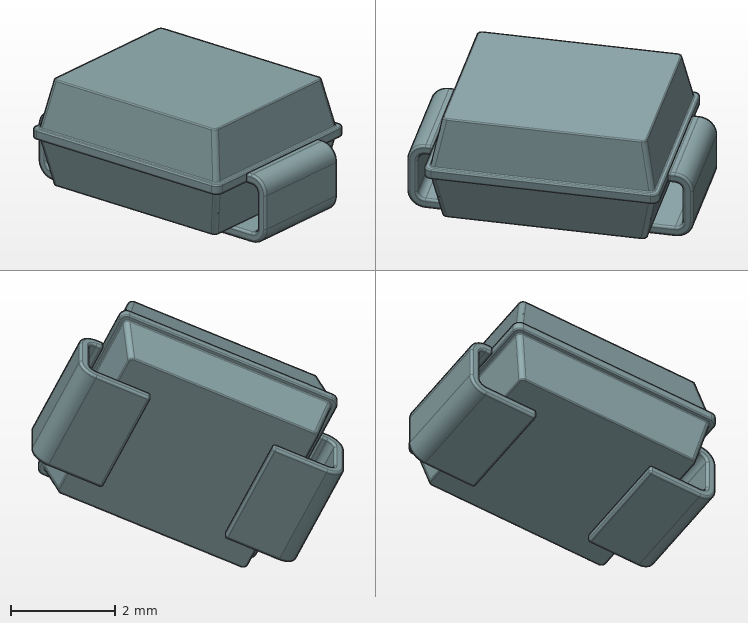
import cadquery as cq
import math

overall_length = 5.6
flange_length = 4.605
flange_width = 3.9
housing_height = 2.2

lead_width = 2.2
lead_thickness = 0.2
bend_inner_radius = 0.15
bend_outer_radius = bend_inner_radius + lead_thickness
foot_length = 1.5
lead_edge_radius = 0.05

flange_height = lead_thickness
flange_corner_radius = 0.15
flange_edge_radius = 0.03
flange_overhang = 0.1
draft_angle = 11.3
wall_corner_radius = 0.1
wall_foot_radius = 0.02
face_edge_radius = 0.03

mid_z = lead_thickness + housing_height / 2
lead_top_z = mid_z + lead_thickness / 2
half_body_height = (housing_height - flange_height) / 2


def make_half_body():
    """Tapered block that stands on the XY plane."""
    base_length = flange_length - 2 * flange_overhang
    base_width = flange_width - 2 * flange_overhang
    inset = half_body_height * math.tan(math.radians(draft_angle))
    block = (
        cq.Workplane("XY")
        .rect(base_length, base_width)
        .workplane(offset=half_body_height)
        .rect(base_length - 2 * inset, base_width - 2 * inset)
        .loft(ruled=True)
    )
    block = block.edges("not(#Z)").fillet(wall_corner_radius)
    return block.faces(">Z").edges().fillet(face_edge_radius)


def make_flange():
    """Rounded plate around the parting line, centred on the origin."""
    return (
        cq.Workplane("XY")
        .box(flange_length, flange_width, flange_height)
        .edges("|Z")
        .fillet(flange_corner_radius)
        .faces("<Z or >Z")
        .edges()
        .fillet(flange_edge_radius)
    )


def make_housing():
    """Flange with the same tapered block above and below it."""
    flange_top_z = flange_height / 2
    upper_half = make_half_body().translate((0, 0, flange_top_z))
    lower_half = upper_half.mirror("XY")
    body = make_flange().union(upper_half).union(lower_half)

    rim_margin = (flange_edge_radius + flange_overhang) / 2
    foot_zone_x = flange_length / 2 - rim_margin
    foot_zone_y = flange_width / 2 - rim_margin
    foot_zone_z = flange_top_z + wall_foot_radius
    foot_zone = cq.selectors.BoxSelector(
        (-foot_zone_x, -foot_zone_y, -foot_zone_z),
        (foot_zone_x, foot_zone_y, foot_zone_z),
        boundingbox=True,
    )
    return body.edges(foot_zone).fillet(wall_foot_radius).translate((0, 0, mid_z))


def make_left_lead():
    """C-shaped strip from the flange's end face down and under the housing."""
    outer_x = -overall_length / 2
    inner_x = outer_x + lead_thickness
    bend_x = outer_x + bend_outer_radius
    root_x = -flange_length / 2
    tip_x = outer_x + foot_length
    upper_bend_z = lead_top_z - bend_outer_radius
    lower_bend_z = bend_outer_radius
    arm_bottom_z = lead_top_z - lead_thickness

    profile = (
        cq.Workplane("XZ")
        .moveTo(root_x, lead_top_z)
        .lineTo(bend_x, lead_top_z)
        .radiusArc((outer_x, upper_bend_z), -bend_outer_radius)
        .lineTo(outer_x, lower_bend_z)
        .radiusArc((bend_x, 0), -bend_outer_radius)
        .lineTo(tip_x, 0)
        .lineTo(tip_x, lead_thickness)
        .lineTo(bend_x, lead_thickness)
        .radiusArc((inner_x, lower_bend_z), bend_inner_radius)
        .lineTo(inner_x, upper_bend_z)
        .radiusArc((bend_x, arm_bottom_z), bend_inner_radius)
        .lineTo(root_x, arm_bottom_z)
        .close()
    )
    strip = profile.extrude(lead_width / 2, both=True)

    side_edges = strip.faces("<Y or >Y").edges().vals()
    end_edges = [
        edge
        for edge in strip.edges("|Y").vals()
        if math.isclose(edge.Center().x, root_x) or math.isclose(edge.Center().x, tip_x)
    ]
    return strip.newObject(side_edges + end_edges).fillet(lead_edge_radius)


housing = make_housing()
left_lead = make_left_lead()
leads = [left_lead.rotate((0, 0, 0), (0, 0, 1), turn) for turn in (0, 180)]

result = cq.Compound.makeCompound([housing.val(), *[lead.val() for lead in leads]])